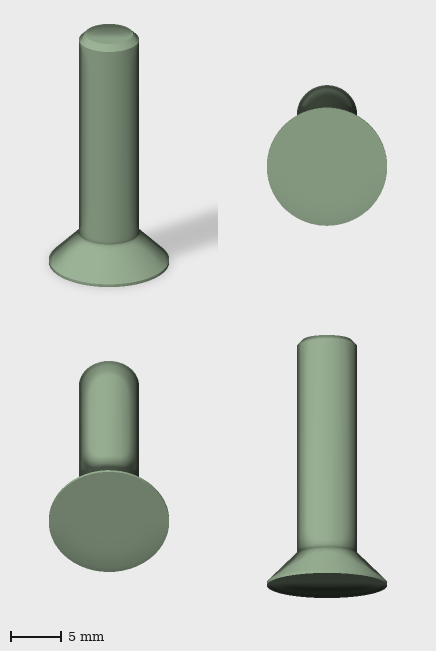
import cadquery as cq

length = 25.0
shank_diameter = 6.0
head_diameter = 12.0
rim_height = 0.3
tip_chamfer = 0.6

shank_radius = shank_diameter / 2
head_radius = head_diameter / 2
cone_height = head_radius - shank_radius
head_height = rim_height + cone_height


def make_head():
    """Thin cylindrical rim with the countersink cone above it."""
    return (
        cq.Workplane("XZ")
        .moveTo(0, 0)
        .lineTo(head_radius, 0)
        .lineTo(head_radius, rim_height)
        .lineTo(shank_radius, head_height)
        .lineTo(0, head_height)
        .close()
        .revolve(360, (0, 0, 0), (0, 1, 0))
    )


def make_shank():
    """Plain cylinder from the top of the head to the chamfered tip."""
    return (
        cq.Workplane("XY")
        .workplane(offset=head_height)
        .circle(shank_radius)
        .extrude(length - head_height)
        .faces(">Z")
        .chamfer(tip_chamfer)
    )


result = make_head().union(make_shank())